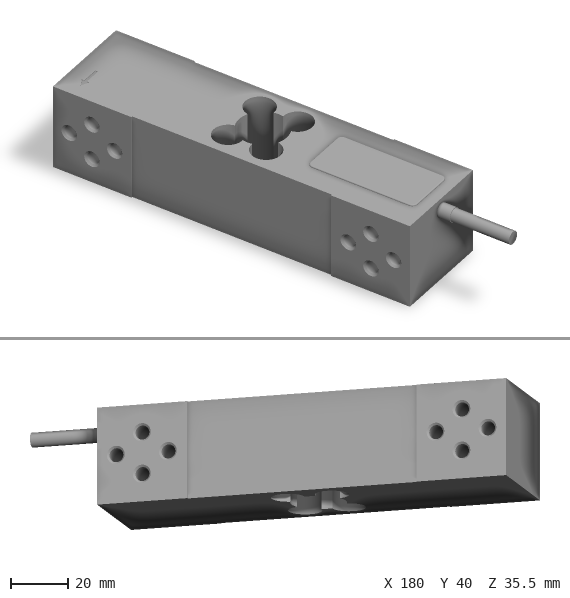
import cadquery as cq

overall_length = 180.0
overall_height = 35.5

beam_length = 150.0
beam_width = 40.0
beam_height = 35.0

window_x = beam_length / 2
central_bore_diameter = 20.0
corner_bore_diameter = 12.0
corner_bore_pitch_x = 16.0
corner_bore_pitch_y = 20.0

hole_group_inset = 16.4
hole_diamond_length = 19.0
hole_diamond_height = 15.0
hole_diameter = 5.0
countersink_diameter = 6.5

recess_start = 33.0
recess_end = 116.8
recess_length = recess_end - recess_start
recess_depth = 1.6
cover_thickness = 1.0

arrow_x = 7.7
arrow_tip_y = -14.0
arrow_length = 10.0
arrow_head_length = 3.0
arrow_head_width = 3.2
arrow_shaft_width = 1.0
arrow_depth = 0.2

plate_length = 45.0
plate_width = 21.0
plate_thickness = overall_height - beam_height
plate_corner_radius = 2.2
plate_edge_fillet = 0.45
plate_x = 122.5
plate_y = 0.5

cable_diameter = 5.2
sleeve_diameter = 5.8
sleeve_length = 5.4
cable_z = beam_height - 5.0


def box_between(x0, x1, y0, y1, z0, z1):
    """Axis-aligned box spanning the given limits."""
    size = (x1 - x0, y1 - y0, z1 - z0)
    return cq.Workplane("XY").box(*size, centered=False).translate((x0, y0, z0))


def flexure_window():
    """Vertical clover-shaped opening through the beam."""
    centre = cq.Workplane("XY").center(window_x, 0)
    window = centre.circle(central_bore_diameter / 2).extrude(beam_height)
    corners = centre.rarray(corner_bore_pitch_x, corner_bore_pitch_y, 2, 2)
    return window.union(corners.circle(corner_bore_diameter / 2).extrude(beam_height))


def mounting_hole_points():
    """Hole centres as (X, Z), measured from the middle of the beam height."""
    points = []
    for group_x in (hole_group_inset, beam_length - hole_group_inset):
        for side in (-1, 1):
            points.append((group_x + side * hole_diamond_length / 2, 0))
            points.append((group_x, side * hole_diamond_height / 2))
    return points


def drill_mounting_holes(body):
    """Holes through the full width, countersunk on both the -Y and +Y faces."""
    face = cq.Workplane("XZ", origin=(0, -beam_width / 2, beam_height / 2))
    points = mounting_hole_points()
    countersink_depth = (countersink_diameter - hole_diameter) / 2
    holes = face.pushPoints(points).circle(hole_diameter / 2).extrude(-beam_width)
    body = body.cut(holes)
    for x, z in points:
        for side in (-1, 1):
            sink = cq.Solid.makeCone(
                countersink_diameter / 2,
                hole_diameter / 2,
                countersink_depth,
                cq.Vector(x, side * beam_width / 2, beam_height / 2 + z),
                cq.Vector(0, -side, 0),
            )
            body = body.cut(cq.Workplane(sink))
    return body


def direction_arrow():
    """Shallow arrow-shaped cutter under the top face."""
    neck_y = arrow_tip_y + arrow_head_length
    tail_y = arrow_tip_y + arrow_length
    half_shaft = arrow_shaft_width / 2
    half_head = arrow_head_width / 2
    outline = [
        (0, arrow_tip_y),
        (half_head, neck_y),
        (half_shaft, neck_y),
        (half_shaft, tail_y),
        (-half_shaft, tail_y),
        (-half_shaft, neck_y),
        (-half_head, neck_y),
    ]
    arrow = cq.Workplane("XY").polyline(outline).close().extrude(arrow_depth)
    return arrow.translate((arrow_x, 0, beam_height - arrow_depth))


def make_beam():
    body = box_between(0, beam_length, -beam_width / 2, beam_width / 2, 0, beam_height)
    recess_floor = beam_width / 2 - recess_depth
    for y0, y1 in ((-beam_width / 2, -recess_floor), (recess_floor, beam_width / 2)):
        body = body.cut(box_between(recess_start, recess_end, y0, y1, 0, beam_height))
    body = body.cut(flexure_window())
    body = drill_mounting_holes(body)
    return body.cut(direction_arrow())


def make_cover(side):
    """Cover plate on the recess floor; side is -1 for -Y and +1 for +Y."""
    centre_y = side * (beam_width / 2 - recess_depth + cover_thickness / 2)
    cover = cq.Workplane("XY").box(recess_length, cover_thickness, beam_height)
    return cover.translate((recess_start + recess_length / 2, centre_y, beam_height / 2))


def make_nameplate():
    plate = cq.Workplane("XY", origin=(plate_x, plate_y, beam_height))
    plate = plate.rect(plate_length, plate_width).extrude(plate_thickness)
    plate = plate.edges("|Z").fillet(plate_corner_radius)
    return plate.faces(">Z").edges().fillet(plate_edge_fillet)


def make_cable():
    start = cq.Workplane("YZ", origin=(beam_length, 0, cable_z))
    sleeve = start.circle(sleeve_diameter / 2).extrude(sleeve_length)
    return sleeve.union(start.circle(cable_diameter / 2).extrude(overall_length - beam_length))


beam = make_beam()
covers = [make_cover(side) for side in (-1, 1)]
nameplate = make_nameplate()
cable = make_cable()

result = cq.Compound.makeCompound(
    [beam.val(), *[cover.val() for cover in covers], nameplate.val(), cable.val()]
)